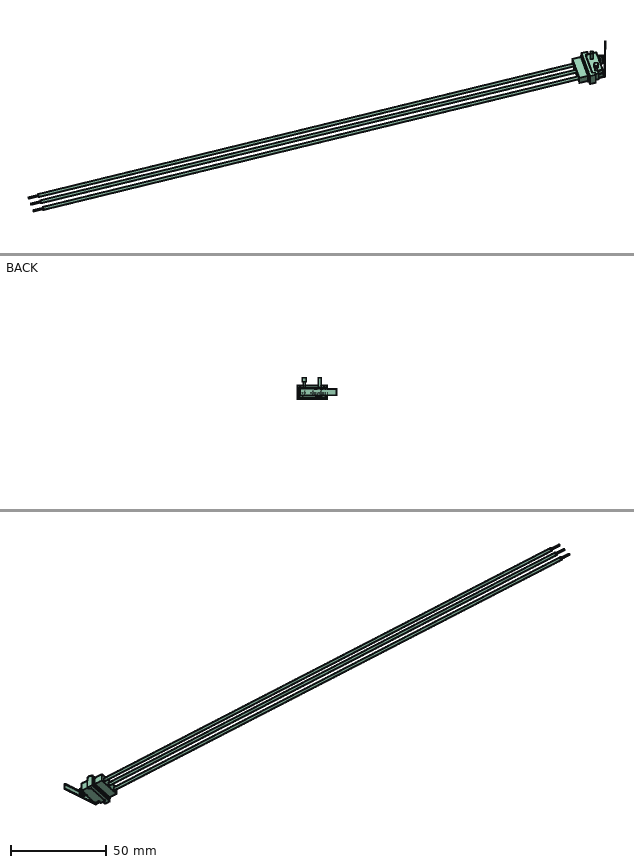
import cadquery as cq
import math


overall_width = 20.61
overall_length = 319.36
overall_height = 11.3

case_width = 13.6
case_thickness = 5.3
head_end = 13.2
cap_step = 0.35
cap_length = 4.6
cap_width = case_width - 2 * cap_step
cap_thickness = case_thickness - 2 * cap_step

flange_width = 15.6
flange_thickness = 7.3
flange_start = 5.4
flange_middle_end = 7.2
flange_end = 8.6
flange_end_land = 1.2
flange_end_slope = 0.6

peg_top = overall_height - flange_thickness / 2
peg_y = 9.8
plain_peg_x = -3.9
plain_peg_diameter = 1.7
headed_peg_x = 4.2
headed_peg_diameter = 1.3
headed_peg_head_diameter = 2.2
headed_peg_head_height = 2.2

lead_positions = (-4.1, 0.1, 4.6)
insulation_diameter = 1.7
insulation_length = 294
conductor_diameter = 0.8
lead_length = 299.3

lever_width = 3.5
lever_thickness = 0.5
lever_tip_x = flange_width / 2 - overall_width
lever_tip_y = overall_length - lead_length
lever_angle = math.radians(17)
lever_heel_end = 10.6
lever_heel_outer_x = case_width / 2
lever_heel_inner_x = lever_heel_outer_x - lever_thickness
notch_inner_x = 4.9

plunger_x = -3.4
plunger_steps = ((4.95, 14.0), (4.5, 15.2), (3.8, 16.0))
plunger_tip_diameter = 2.2


def lever_underside_y(x):
    """Y of the sloping strip's case-side face at the given x."""
    tip_y = lever_tip_y - lever_thickness * math.cos(lever_angle)
    return tip_y - (x - lever_tip_x) * math.tan(lever_angle)


def block(width, thickness, y_start, y_end, x=0):
    """Box centred on x and on the mid-thickness plane."""
    length = y_end - y_start
    middle_y = (y_start + y_end) / 2
    return cq.Workplane("XY", origin=(x, middle_y, 0)).box(width, length, thickness)


def rod(diameter, x, y_start, y_end):
    """Round bar along Y."""
    section = cq.Workplane("XZ", origin=(x, y_start, 0)).circle(diameter / 2)
    return section.extrude(y_start - y_end)


def peg(diameter, x, z_start, z_end):
    """Round bar along Z in the row of mounting pegs."""
    section = cq.Workplane("XY", origin=(x, peg_y, z_start)).circle(diameter / 2)
    return section.extrude(z_end - z_start)


def make_flange():
    half_width = flange_width / 2
    land_x = half_width - flange_end_land
    slope_x = land_x - flange_end_slope
    outline = cq.Workplane("XY", origin=(0, 0, -flange_thickness / 2)).polyline([
        (-half_width, flange_start),
        (half_width, flange_start),
        (half_width, flange_end),
        (land_x, flange_end),
        (slope_x, flange_middle_end),
        (-slope_x, flange_middle_end),
        (-land_x, flange_end),
        (-half_width, flange_end),
    ])
    return outline.close().extrude(flange_thickness)


def make_head():
    """Actuator head, notched at the +X corner around the lug that carries the lever heel."""
    head = block(case_width, case_thickness, cap_length, head_end)
    notch_width = case_width / 2 - notch_inner_x
    notch_x = notch_inner_x + notch_width / 2
    notch = block(notch_width, case_thickness, lever_heel_end, head_end, notch_x)
    lug_width = lever_heel_inner_x - notch_inner_x
    lug_x = notch_inner_x + lug_width / 2
    lug = block(lug_width, lever_width, lever_heel_end, head_end, lug_x)
    return head.cut(notch).union(lug)


def make_plunger():
    """Steps of falling diameter, ending in a round tip that touches the lever."""
    tip_radius = plunger_tip_diameter / 2
    tip_centre_y = lever_underside_y(plunger_x) - tip_radius / math.cos(lever_angle)
    plunger = rod(plunger_tip_diameter, plunger_x, head_end, tip_centre_y)
    tip = cq.Workplane("XY", origin=(plunger_x, tip_centre_y, 0)).sphere(tip_radius)
    plunger = plunger.union(tip)
    for diameter, end in plunger_steps:
        plunger = plunger.union(rod(diameter, plunger_x, head_end, end))
    return plunger


def make_headed_peg():
    stem = peg(headed_peg_diameter, headed_peg_x, 0, peg_top)
    head_start = peg_top - headed_peg_head_height
    return stem.union(peg(headed_peg_head_diameter, headed_peg_x, head_start, peg_top))


def make_lead(x):
    insulation = rod(insulation_diameter, x, -insulation_length, 0)
    conductor = rod(conductor_diameter, x, -lead_length, -insulation_length)
    return insulation.union(conductor)


def make_switch():
    switch = block(cap_width, cap_thickness, 0, cap_length).union(make_head())
    switch = switch.union(make_flange()).union(make_plunger())
    switch = switch.union(peg(plain_peg_diameter, plain_peg_x, 0, peg_top)).union(make_headed_peg())
    for x in lead_positions:
        switch = switch.union(make_lead(x))
    return switch


def make_lever():
    upper_rise = lever_thickness / math.cos(lever_angle)
    outline = cq.Workplane("XY", origin=(0, 0, -lever_width / 2)).polyline([
        (lever_tip_x, lever_underside_y(lever_tip_x)),
        (lever_heel_inner_x, lever_underside_y(lever_heel_inner_x)),
        (lever_heel_inner_x, lever_heel_end),
        (lever_heel_outer_x, lever_heel_end),
        (lever_heel_outer_x, lever_underside_y(lever_heel_outer_x) + upper_rise),
        (lever_tip_x + lever_thickness * math.sin(lever_angle), lever_tip_y),
    ])
    return outline.close().extrude(lever_width)


switch = make_switch()
lever = make_lever()
result = cq.Compound.makeCompound([switch.val(), lever.val()])